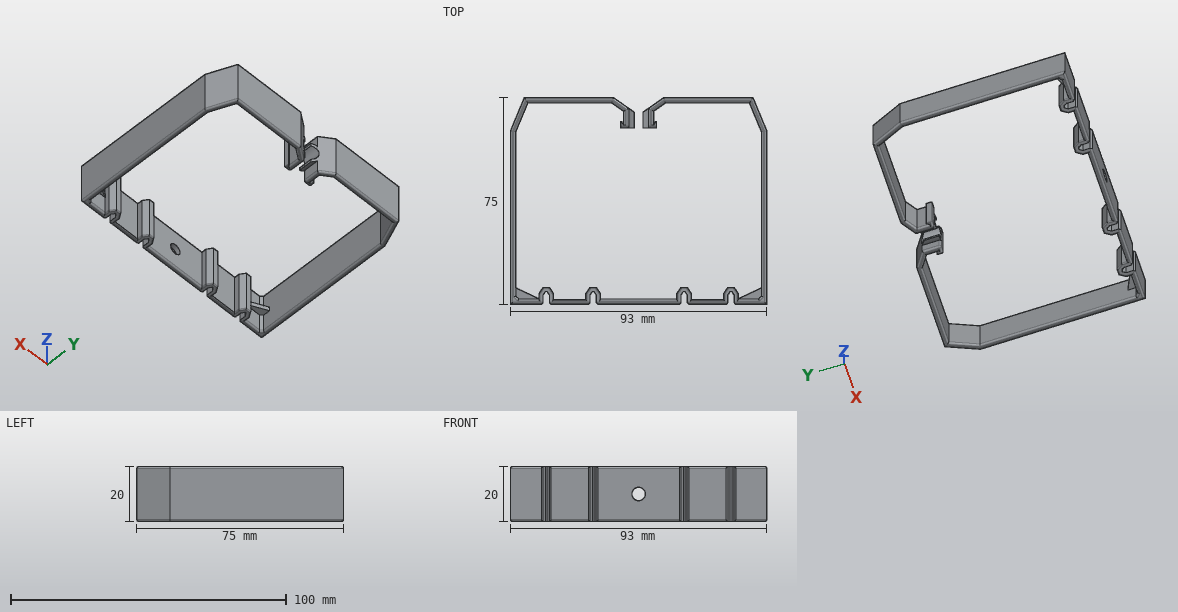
import math

import cadquery as cq

LENGTH = 93.0
DEPTH = 75.0
HEIGHT = 20.0
WALL = 2.0
RIM_RADIUS = 0.8

HALF_LENGTH = LENGTH / 2
FRONT = -DEPTH / 2
BACK = DEPTH / 2

BEVEL_X = 5.0
BEVEL_Y = 12.0

BEND_START = 9.1
BEND_ANGLE = 35.0
TAB_FACE = 3.5
TAB_END = 26.45
TAB_CORNER_RADIUS = 0.75

HOOK_REACH = 1.0
HOOK_TIP_WIDTH = 0.4
HOOK_TIP_LENGTH = 2.3
HOOK_ROOT_LENGTH = 1.2
HOOK_RIM_RADIUS = 0.15

CRADLE_OUTER_RADIUS = 5.3
CRADLE_INNER_RADIUS = 4.0
CRADLE_GAP = 3.0

FOLD_POSITIONS = (16.5, 33.5)
FOLD_THICKNESS = 1.6
SLOT_HALF_WIDTH = 1.1
SLOT_TOP_HALF_WIDTH = 0.3
SLOT_SHOULDER = FRONT + 3.4
SLOT_TOP = FRONT + 4.6
SLOT_MOUTH_CHAMFER = 0.65
FOLD_RIM_RADIUS = 0.45

RECESS_DEPTH = 0.25

GUSSET_LENGTH = 8.5
GUSSET_DEPTH = 4.0
GUSSET_THICKNESS = 2.0
CORNER_FILL = 1.0

SCREW_HOLE_DIAMETER = 4.8


def prism(points, height=HEIGHT):
    """Closed XY outline extruded evenly above and below Z = 0."""
    return cq.Workplane("XY").polyline(points).close().extrude(height / 2, both=True)


def mirrored(half):
    """The half on the -X side joined to its mirror image."""
    return half.union(half.mirror("YZ"))


def bend_line_y(x):
    """Y of the bend's outer face at a given X on the -X side."""
    return BACK - (x + BEND_START) * math.tan(math.radians(BEND_ANGLE))


def band():
    """Left half of the wall, from the front centre round to the tab end."""
    tab_top_y = bend_line_y(-TAB_FACE)
    outer = [
        (0, FRONT),
        (-HALF_LENGTH, FRONT),
        (-HALF_LENGTH, BACK - BEVEL_Y),
        (-HALF_LENGTH + BEVEL_X, BACK),
        (-BEND_START, BACK),
        (-TAB_FACE, tab_top_y),
        (-TAB_FACE, TAB_END),
    ]
    bevel_shift = WALL * math.tan(math.atan2(BEVEL_X, BEVEL_Y) / 2)
    corner_shift = WALL * math.tan(math.atan2(BEVEL_Y, BEVEL_X) / 2)
    bend_shift = WALL * math.tan(math.radians(BEND_ANGLE) / 2)
    tab_shift = WALL * math.tan(math.radians(90 - BEND_ANGLE) / 2)
    inner = [
        (-TAB_FACE - WALL, TAB_END),
        (-TAB_FACE - WALL, tab_top_y - tab_shift),
        (-BEND_START - bend_shift, BACK - WALL),
        (-HALF_LENGTH + BEVEL_X + corner_shift, BACK - WALL),
        (-HALF_LENGTH + WALL, BACK - BEVEL_Y - bevel_shift),
        (-HALF_LENGTH + WALL, FRONT + WALL + CORNER_FILL),
        (-HALF_LENGTH + WALL + CORNER_FILL, FRONT + WALL),
        (0, FRONT + WALL),
    ]
    wall = prism(outer + inner)
    tab_corner = cq.selectors.NearestToPointSelector((-TAB_FACE, TAB_END, 0))
    return wall.edges(tab_corner).fillet(TAB_CORNER_RADIUS)


def round_rims(body, radius):
    """Round every edge of the flat top and bottom."""
    return body.faces("|Z").edges().fillet(radius)


def hook():
    """Backward-pointing barb on the left tab, its front edges rounded like the wall."""
    root_x = -TAB_FACE - WALL
    tip_x = root_x - HOOK_REACH
    tip_y = TAB_END + HOOK_TIP_LENGTH
    bar = prism([
        (root_x + WALL / 2, TAB_END),
        (tip_x, TAB_END),
        (tip_x, tip_y),
        (tip_x + HOOK_TIP_WIDTH, tip_y),
        (root_x, TAB_END + HOOK_ROOT_LENGTH),
        (root_x + WALL / 2, TAB_END + HOOK_ROOT_LENGTH),
    ])
    bar = bar.faces("|Z").edges("<Y").fillet(RIM_RADIUS)
    return bar.faces("|Z").edges("not <Y").edges("not >X").fillet(HOOK_RIM_RADIUS)


def cradle_cylinder(radius):
    """Cylinder along Y from the tab ends to the back."""
    return cq.Workplane("XZ", origin=(0, TAB_END, 0)).circle(radius).extrude(TAB_END - BACK)


def cradle():
    """Left half-round block, its rear end cut along the bend's outer face."""
    tip_x = -CRADLE_GAP / 2
    kept = prism([
        (tip_x, TAB_END),
        (-CRADLE_OUTER_RADIUS, TAB_END),
        (-CRADLE_OUTER_RADIUS, bend_line_y(-CRADLE_OUTER_RADIUS)),
        (tip_x, bend_line_y(tip_x)),
    ])
    return cradle_cylinder(CRADLE_OUTER_RADIUS).intersect(kept)


def gusset():
    """Triangular web across the inside of the left front corner, at mid-height."""
    corner_x = -HALF_LENGTH + WALL / 2
    corner_y = FRONT + WALL / 2
    reach_x = -HALF_LENGTH + WALL + GUSSET_LENGTH
    reach_y = FRONT + WALL + GUSSET_DEPTH
    web = [
        (corner_x, corner_y),
        (reach_x, corner_y),
        (reach_x, FRONT + WALL),
        (-HALF_LENGTH + WALL, reach_y),
        (corner_x, reach_y),
    ]
    return prism(web, GUSSET_THICKNESS)


def fold_body():
    """Solid block behind the front wall, parallel to the slot and rounded along its outer profile."""
    bevel_angle = math.atan2(SLOT_HALF_WIDTH - SLOT_TOP_HALF_WIDTH, SLOT_TOP - SLOT_SHOULDER)
    half_width = SLOT_HALF_WIDTH + FOLD_THICKNESS
    shoulder_y = SLOT_SHOULDER + FOLD_THICKNESS * math.tan(bevel_angle / 2)
    top_half_width = SLOT_TOP_HALF_WIDTH + FOLD_THICKNESS * math.tan(math.pi / 4 - bevel_angle / 2)
    base_y = FRONT + RIM_RADIUS
    body = prism([
        (-half_width, base_y),
        (-half_width, shoulder_y),
        (-top_half_width, SLOT_TOP + FOLD_THICKNESS),
        (top_half_width, SLOT_TOP + FOLD_THICKNESS),
        (half_width, shoulder_y),
        (half_width, base_y),
    ])
    return body.faces("|Z").edges("not <Y").fillet(FOLD_RIM_RADIUS)


def fold_slot():
    """Slot through a fold, chamfered at its mouth in the front face."""
    half_mouth = SLOT_HALF_WIDTH + SLOT_MOUTH_CHAMFER
    return prism([
        (-half_mouth, FRONT),
        (-SLOT_HALF_WIDTH, FRONT + SLOT_MOUTH_CHAMFER),
        (-SLOT_HALF_WIDTH, SLOT_SHOULDER),
        (-SLOT_TOP_HALF_WIDTH, SLOT_TOP),
        (SLOT_TOP_HALF_WIDTH, SLOT_TOP),
        (SLOT_HALF_WIDTH, SLOT_SHOULDER),
        (SLOT_HALF_WIDTH, FRONT + SLOT_MOUTH_CHAMFER),
        (half_mouth, FRONT),
    ])


def fold_recess():
    """Recess spanning the two left folds; its ends lie inside them."""
    inner_x, outer_x = FOLD_POSITIONS
    back_y = FRONT + WALL
    return prism([
        (-outer_x, back_y),
        (-inner_x, back_y),
        (-inner_x, back_y - RECESS_DEPTH),
        (-outer_x, back_y - RECESS_DEPTH),
    ])


def screw_hole():
    """Round hole through the middle of the front wall."""
    return (
        cq.Workplane("XZ", origin=(0, FRONT, 0))
        .circle(SCREW_HOLE_DIAMETER / 2)
        .extrude(-WALL)
    )


part = round_rims(mirrored(band()).clean(), RIM_RADIUS)
part = part.cut(mirrored(fold_recess()))
for feature in (hook(), cradle(), gusset()):
    part = part.union(mirrored(feature))
part = part.cut(cradle_cylinder(CRADLE_INNER_RADIUS))
for position in FOLD_POSITIONS:
    for x in (-position, position):
        part = part.union(fold_body().translate((x, 0, 0)))
        part = part.cut(fold_slot().translate((x, 0, 0)))
result = part.cut(screw_hole())